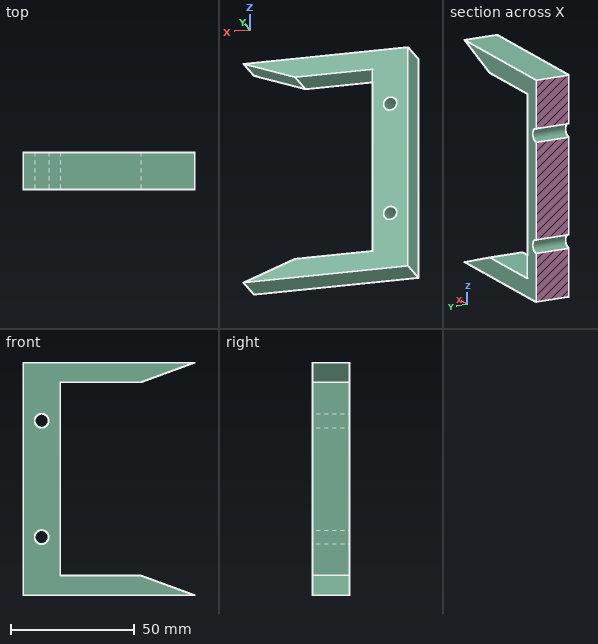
import cadquery as cq

height = 94.0
length = 69.5
depth = 15.0

spine_width = 15.0
arm_thickness = 8.0
taper_start = 47.7

hole_diameter = 5.5
hole_spacing = height / 2

half_height = height / 2
inner_half_height = half_height - arm_thickness


def make_bracket():
    """C-shaped bracket whose arms taper to sharp tips on the inner side."""
    outline = [
        (0, -half_height),
        (length, -half_height),
        (taper_start, -inner_half_height),
        (spine_width, -inner_half_height),
        (spine_width, inner_half_height),
        (taper_start, inner_half_height),
        (length, half_height),
        (0, half_height),
    ]
    return cq.Workplane("XZ").polyline(outline).close().extrude(depth / 2, both=True)


def make_mounting_holes():
    """Two cylinders passing through the spine along Y."""
    hole_centres = [
        (spine_width / 2, -hole_spacing / 2),
        (spine_width / 2, hole_spacing / 2),
    ]
    return (
        cq.Workplane("XZ")
        .pushPoints(hole_centres)
        .circle(hole_diameter / 2)
        .extrude(depth, both=True)
    )


result = make_bracket().cut(make_mounting_holes())